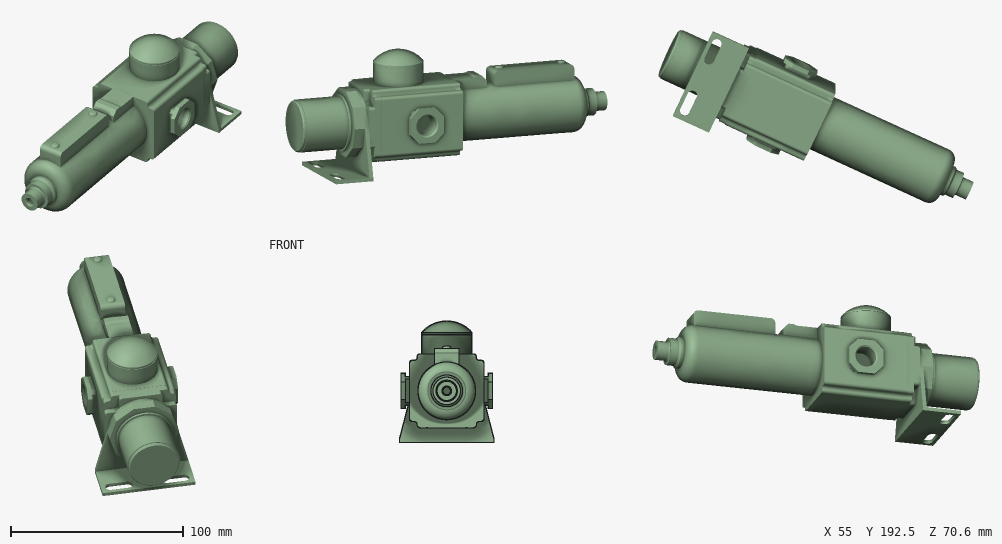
import cadquery as cq
import math


overall_length = 192.5
quarter_arc_mid = math.sqrt(0.5)

knob_end_y = 72.4
knob_shoulder_y = 70.6
collar_back_y = 44.7
collar_front_y = 43.6
nut_back_y = 42.7
bracket_back_y = 36.3
bonnet_back_y = 33.95
notch_front_y = 30.4
body_back_y = 26.3
body_front_y = -24.0
bowl_root_y = -20.0
bowl_round_y = -98.9
bowl_end_y = -105.1
drain_end_y = knob_end_y - overall_length

body_half_width = 21.75
body_half_height = 21.5
bonnet_half_width = 21.3
bonnet_half_height = 21.4
step_x = 17.2
step_z = 17.8
notch_x = 12.7
notch_z = 12.2
corner_radius = 1.75

knob_radius = 15.5
knob_lip_radius = 15.0
knob_lip_chamfer = 0.6
collar_radius = 16.7
nut_sides = 10
nut_corner_radius = 20.55

bracket_width = 55.0
bracket_bottom_z = -30.0
bracket_top_radius = 19.6
foot_thickness = 2.1
foot_back_y = 57.1
slot_center_y = 52.0
slot_width = 5.8
slot_outer_x = 24.8
slot_length = 16.0

gauge_y = 7.8
gauge_radius = 14.6
gauge_groove_depth = 0.3
gauge_groove_bottom_z = 32.5
gauge_groove_top_z = 33.1
gauge_rim_top_z = 34.0
dome_top_z = 40.62

port_face_x = 26.65
port_flange_inner_x = 24.0
port_flange_size = 20.5
port_corner_cut = 5.2
port_neck_size = 16.9
port_hole_radius = 6.0
port_mouth_radius = 6.8
port_depth = 12.0

bowl_back_radius = 16.7
bowl_front_radius = 16.8
bowl_end_radius = 11.0
drain_collar_radius = 9.2
drain_collar_end_y = -107.1
drain_body_radius = 8.0
drain_body_back_y = -108.2
drain_body_end_y = -112.9
drain_tip_back_y = -113.7
drain_tip_base_radius = 6.2
drain_tip_radius = 5.6
drain_hole_radius = 2.2
drain_mouth_radius = 2.8
drain_hole_depth = 8.0

cover_width = 14.5
cover_top_z = 24.7
cover_back_y = -49.4
cover_front_y = bowl_round_y
cover_round = 2.7
screw_ys = (-54.9, -93.8)
screw_base_radius = 2.6
screw_flat_radius = 0.9
screw_height = 1.3
latch_flat_top_z = 21.8
latch_hump_top_z = 22.5
latch_nose_top_z = 19.5
latch_hump_start_y = -36.3
latch_hump_back_y = -38.0
latch_hump_front_y = -41.4
latch_front_y = -44.4


def extrude_y(sketch, front_y, back_y):
    """Extrude an XZ outline from front_y back to back_y."""
    return sketch.extrude(back_y - front_y).translate((0, back_y, 0))


def disc_y(radius, front_y, back_y):
    """Round disc on the long axis."""
    return extrude_y(cq.Workplane("XZ").circle(radius), front_y, back_y)


def corner_cutters(half_width, half_height, inner_x, inner_z, front_y, back_y):
    """Four square prisms that step the corners of a rectangular section."""
    cutters = cq.Workplane("XY")
    size_x = half_width - inner_x
    size_z = half_height - inner_z
    for sign_x in (-1, 1):
        for sign_z in (-1, 1):
            center = (sign_x * (half_width + inner_x) / 2, sign_z * (half_height + inner_z) / 2)
            prism = cq.Workplane("XZ").center(*center).rect(size_x, size_z)
            cutters = cutters.add(extrude_y(prism, front_y, back_y))
    return cutters.combine()


def stepped_block(half_width, half_height, inner_x, inner_z, front_y, back_y):
    """Rectangular bar with stepped corners whose step edges are all rounded."""
    bar = extrude_y(cq.Workplane("XZ").rect(2 * half_width, 2 * half_height), front_y, back_y)
    bar = bar.cut(corner_cutters(half_width, half_height, inner_x, inner_z, front_y, back_y))
    return bar.edges("|Y").fillet(corner_radius)


def make_body():
    """Body block and the bonnet behind it, with deeper corner notches next to the bracket."""
    body = stepped_block(
        body_half_width, body_half_height, step_x, step_z, body_front_y, body_back_y
    )
    bonnet = stepped_block(
        bonnet_half_width, bonnet_half_height, step_x, step_z, body_back_y, notch_front_y
    )
    notched = stepped_block(
        bonnet_half_width, bonnet_half_height, notch_x, notch_z, notch_front_y, bonnet_back_y
    )
    return body.union(bonnet).union(notched)


def make_knob_and_nut():
    """Adjusting knob with its end lip, thin collar and panel nut."""
    knob = disc_y(knob_radius, bonnet_back_y, knob_shoulder_y)
    lip = disc_y(knob_lip_radius, knob_shoulder_y, knob_end_y).faces(">Y").chamfer(knob_lip_chamfer)
    collar = disc_y(collar_radius, collar_front_y, collar_back_y)
    nut_outline = cq.Workplane("XZ").polygon(nut_sides, 2 * nut_corner_radius)
    nut = extrude_y(nut_outline, bracket_back_y, nut_back_y)
    return knob.union(lip).union(collar).union(nut)


def make_bracket():
    """Angle bracket: an upright plate with a round top and a slotted foot."""
    half_width = bracket_width / 2
    shoulder_z = bracket_bottom_z + foot_thickness
    corner_distance = math.hypot(half_width, shoulder_z)
    tangent_angle = math.atan2(shoulder_z, half_width) + math.acos(bracket_top_radius / corner_distance)
    tangent_x = bracket_top_radius * math.cos(tangent_angle)
    tangent_z = bracket_top_radius * math.sin(tangent_angle)
    outline = (
        cq.Workplane("XZ")
        .moveTo(-half_width, bracket_bottom_z)
        .lineTo(half_width, bracket_bottom_z)
        .lineTo(half_width, shoulder_z)
        .lineTo(tangent_x, tangent_z)
        .threePointArc((0, bracket_top_radius), (-tangent_x, tangent_z))
        .lineTo(-half_width, shoulder_z)
        .close()
    )
    plate = extrude_y(outline, bonnet_back_y, bracket_back_y)

    slot_center_x = slot_outer_x - slot_length / 2
    foot_length = foot_back_y - bonnet_back_y
    foot = (
        cq.Workplane("XY", origin=(0, bonnet_back_y + foot_length / 2, bracket_bottom_z))
        .rect(bracket_width, foot_length)
        .extrude(foot_thickness)
    )
    slots = (
        cq.Workplane("XY", origin=(0, slot_center_y, bracket_bottom_z))
        .pushPoints([(-slot_center_x, 0), (slot_center_x, 0)])
        .slot2D(slot_length, slot_width)
        .extrude(foot_thickness)
    )
    return plate.union(foot.cut(slots))


def make_gauge():
    """Revolved boss with a thin groove under its rim and a domed top."""
    groove_radius = gauge_radius - gauge_groove_depth
    dome_height = dome_top_z - gauge_rim_top_z
    sphere_radius = (gauge_radius**2 + dome_height**2) / (2 * dome_height)
    half_angle = math.asin(gauge_radius / sphere_radius) / 2
    dome_mid = (
        sphere_radius * math.sin(half_angle),
        dome_top_z - sphere_radius * (1 - math.cos(half_angle)),
    )
    return (
        cq.Workplane("XZ", origin=(0, gauge_y, 0))
        .moveTo(0, 0)
        .lineTo(gauge_radius, 0)
        .lineTo(gauge_radius, gauge_groove_bottom_z)
        .lineTo(groove_radius, gauge_groove_bottom_z)
        .lineTo(groove_radius, gauge_groove_top_z)
        .lineTo(gauge_radius, gauge_groove_top_z)
        .lineTo(gauge_radius, gauge_rim_top_z)
        .threePointArc(dome_mid, (0, dome_top_z))
        .close()
        .revolve(360, (0, 0, 0), (0, 1, 0))
    )


def square_bar_x(size, length):
    """Square bar running from the YZ plane toward +X."""
    return cq.Workplane("YZ").rect(size, size).extrude(length)


def make_ports():
    """Octagonal flanges on necks whose flats are set back behind the flange."""
    bar = square_bar_x(port_flange_size, port_face_x).edges("|X").chamfer(port_corner_cut)
    set_back = square_bar_x(port_flange_size, port_flange_inner_x)
    set_back = set_back.cut(square_bar_x(port_neck_size, port_flange_inner_x))
    port = bar.cut(set_back)
    return port.union(port.mirror("YZ"))


def make_port_holes():
    """Blind holes with a chamfered mouth, one in each port."""
    mouth_depth = port_mouth_radius - port_hole_radius
    hole = (
        cq.Workplane("XY")
        .moveTo(port_face_x, 0)
        .lineTo(port_face_x, port_mouth_radius)
        .lineTo(port_face_x - mouth_depth, port_hole_radius)
        .lineTo(port_face_x - port_depth, port_hole_radius)
        .lineTo(port_face_x - port_depth, 0)
        .close()
        .revolve(360, (0, 0, 0), (1, 0, 0))
    )
    return hole.union(hole.mirror("YZ"))


def make_bowl():
    """Slightly tapered bowl with a rounded end, and the stepped drain at its tip."""
    round_mid = (
        bowl_end_radius + (bowl_front_radius - bowl_end_radius) * quarter_arc_mid,
        bowl_round_y + (bowl_end_y - bowl_round_y) * quarter_arc_mid,
    )
    mouth_depth = drain_mouth_radius - drain_hole_radius
    hole_bottom_y = drain_end_y + drain_hole_depth
    return (
        cq.Workplane("XY")
        .moveTo(0, bowl_root_y)
        .lineTo(bowl_back_radius, bowl_root_y)
        .lineTo(bowl_back_radius, body_front_y)
        .lineTo(bowl_front_radius, bowl_round_y)
        .threePointArc(round_mid, (bowl_end_radius, bowl_end_y))
        .lineTo(drain_collar_radius, bowl_end_y)
        .lineTo(drain_collar_radius, drain_collar_end_y)
        .lineTo(drain_body_radius, drain_body_back_y)
        .lineTo(drain_body_radius, drain_body_end_y)
        .lineTo(drain_tip_base_radius, drain_body_end_y)
        .lineTo(drain_tip_radius, drain_tip_back_y)
        .lineTo(drain_tip_radius, drain_end_y)
        .lineTo(drain_mouth_radius, drain_end_y)
        .lineTo(drain_hole_radius, drain_end_y + mouth_depth)
        .lineTo(drain_hole_radius, hole_bottom_y)
        .lineTo(0, hole_bottom_y)
        .close()
        .revolve(360, (0, 0, 0), (0, 1, 0))
    )


def make_latch():
    """Release latch with a raised hump and a sloping nose."""
    profile = [
        (body_front_y, 0),
        (body_front_y, latch_flat_top_z),
        (latch_hump_start_y, latch_flat_top_z),
        (latch_hump_back_y, latch_hump_top_z),
        (latch_hump_front_y, latch_hump_top_z),
        (latch_front_y, latch_nose_top_z),
        (latch_front_y, 0),
    ]
    return cq.Workplane("YZ").polyline(profile).close().extrude(cover_width / 2, both=True)


def make_screw_head(screw_y):
    """Domed head with a small flat on top."""
    dome_mid = (
        screw_flat_radius + (screw_base_radius - screw_flat_radius) * quarter_arc_mid,
        screw_height * quarter_arc_mid,
    )
    return (
        cq.Workplane("XZ", origin=(0, screw_y, cover_top_z))
        .moveTo(0, 0)
        .lineTo(screw_base_radius, 0)
        .threePointArc(dome_mid, (screw_flat_radius, screw_height))
        .lineTo(0, screw_height)
        .close()
        .revolve(360, (0, 0, 0), (0, 1, 0))
    )


def make_sight_cover():
    """Long cover with rounded ends, held by two screws."""
    cover = (
        cq.Workplane("XY", origin=(0, (cover_back_y + cover_front_y) / 2, 0))
        .rect(cover_width, cover_back_y - cover_front_y)
        .extrude(cover_top_z)
        .faces(">Z")
        .edges("|X")
        .fillet(cover_round)
    )
    for screw_y in screw_ys:
        cover = cover.union(make_screw_head(screw_y))
    return cover


result = (
    make_body()
    .union(make_knob_and_nut())
    .union(make_bracket())
    .union(make_gauge())
    .union(make_ports())
    .union(make_bowl())
    .union(make_latch())
    .union(make_sight_cover())
    .cut(make_port_holes())
)